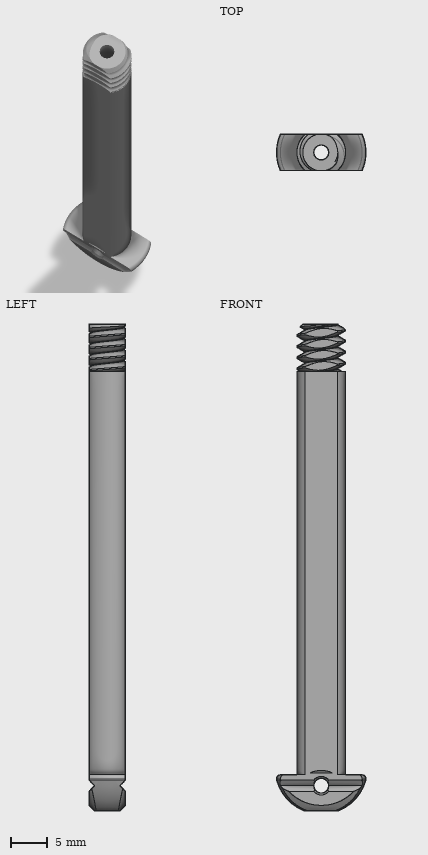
import cadquery as cq
import math

total_height = 66.2
shaft_radius = 3.3
flat_width = 5.0
half_width = flat_width / 2

head_radius = 6.1
head_height = 4.9
dome_top = 4.2
dome_flat_radius = 2.4
rim_fillet = 0.5
flat_chamfer = 0.7
bevel_reach = 2.0

groove_bottom = 2.65
groove_top = 4.2
groove_height = (groove_bottom + groove_top) / 2
groove_depth = (groove_top - groove_bottom) / 2
hole_diameter = 2.0
hole_chamfer = 0.25

recess_base = 5.15
recess_half_length = 1.45
recess_rise = 0.3

thread_length = 6.4
four_turns = 6.0
pitch = four_turns / 4
thread_depth = 1.05
thread_angle = 60
flank_slope = math.tan(math.radians(thread_angle / 2))
tip_chamfer = 0.8
crest_height = total_height - tip_chamfer
root_radius = shaft_radius - thread_depth
root_overlap = 0.03
crest_width = pitch / 8
spare_turns = 1
envelope_turn = 70

shoulder_height = total_height - thread_length


def make_head():
    """Domed disc trimmed to the flat width, with the lower edges of its flat sides chamfered."""
    sphere_height = (head_radius**2 + dome_top**2 - dome_flat_radius**2) / (2 * dome_top)
    sphere_radius = math.hypot(dome_flat_radius, sphere_height)
    middle_radius = (head_radius + dome_flat_radius) / 2
    middle_height = sphere_height - math.sqrt(sphere_radius**2 - middle_radius**2)
    disc = (
        cq.Workplane("XZ")
        .lineTo(dome_flat_radius, 0)
        .threePointArc((middle_radius, middle_height), (head_radius, dome_top))
        .lineTo(head_radius, head_height)
        .lineTo(0, head_height)
        .close()
        .revolve(360, (0, 0, 0), (0, 1, 0))
        .faces(">Z").edges().fillet(rim_fillet)
    )
    trimmer = (
        cq.Workplane("XZ", origin=(0, half_width, flat_chamfer + head_radius))
        .circle(head_radius + bevel_reach).extrude(flat_width)
        .edges().chamfer(bevel_reach)
    )
    return disc.intersect(trimmer)


def make_thread():
    """Threaded tip: a core with a helical ridge, trimmed by a chamfered cylinder."""
    turns_below = math.ceil((crest_height - shoulder_height) / pitch) + spare_turns
    helix_start = crest_height - turns_below * pitch
    helix_length = (turns_below + spare_turns) * pitch
    apex_radius = shaft_radius + crest_width / 2 / flank_slope
    inner_radius = root_radius - root_overlap
    half_base = (apex_radius - inner_radius) * flank_slope
    helix = cq.Wire.makeHelix(pitch, helix_length, inner_radius).translate(cq.Vector(0, 0, helix_start))
    ridge = (
        cq.Workplane("XZ")
        .moveTo(inner_radius, helix_start - half_base)
        .lineTo(apex_radius, helix_start)
        .lineTo(inner_radius, helix_start + half_base)
        .close()
        .sweep(cq.Workplane(obj=helix), isFrenet=True)
    )
    envelope = (
        cq.Workplane("XY").workplane(offset=shoulder_height)
        .circle(shaft_radius).extrude(thread_length)
        .faces(">Z").chamfer(tip_chamfer)
        .rotate((0, 0, 0), (0, 0, 1), envelope_turn)
    )
    core = cq.Workplane("XY").circle(root_radius).extrude(helix_start + helix_length)
    return core.union(ridge).intersect(envelope)


def make_groove():
    """V-shaped cutter running along X on the +Y side of the head."""
    return (
        cq.Workplane("YZ")
        .moveTo(half_width, groove_bottom)
        .lineTo(half_width - groove_depth, groove_height)
        .lineTo(half_width, groove_top)
        .close()
        .extrude(2 * head_radius, both=True)
    )


def make_recess():
    """Cutter for a scoop in the +Y flat: an arc segment swung inward about its chord."""
    return (
        cq.Workplane("XZ", origin=(0, half_width, 0))
        .moveTo(-recess_half_length, recess_base)
        .threePointArc((0, recess_base + recess_rise), (recess_half_length, recess_base))
        .close()
        .revolve(90, (-recess_half_length, recess_base, 0), (recess_half_length, recess_base, 0))
    )


def make_hole_mouth():
    """Cone-shaped cutter that chamfers the +Y mouth of the cross hole."""
    mouth_radius = hole_diameter / 2 + hole_chamfer
    return cq.Workplane(obj=cq.Solid.makeCone(
        mouth_radius,
        0,
        mouth_radius,
        pnt=cq.Vector(0, half_width, groove_height),
        dir=cq.Vector(0, -1, 0),
    ))


shaft = (
    cq.Workplane("XY").workplane(offset=groove_height)
    .circle(shaft_radius).extrude(shoulder_height - groove_height)
)
flats = cq.Workplane("XY").box(2 * head_radius, flat_width, total_height, centered=(True, True, False))

axial_hole = cq.Workplane("XY").circle(hole_diameter / 2).extrude(total_height)
cross_hole = (
    cq.Workplane("XZ").center(0, groove_height)
    .circle(hole_diameter / 2).extrude(flat_width, both=True)
)

result = shaft.union(make_thread()).intersect(flats).union(make_head())
for cutter in (make_groove(), make_recess(), make_hole_mouth()):
    opposite_cutter = cutter.rotate((0, 0, 0), (0, 0, 1), 180)
    result = result.cut(cutter).cut(opposite_cutter)
result = result.cut(axial_hole).cut(cross_hole)